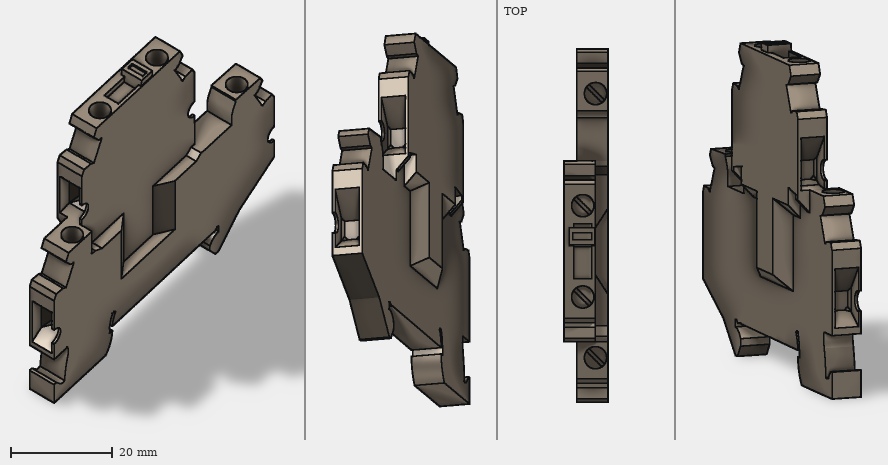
import cadquery as cq


TOTAL_WIDTH = 8.72
SLAB_WIDTH = 6.2
OFFSET = TOTAL_WIDTH - SLAB_WIDTH

LENGTH = 69.9
LOWER_TOP = 40.0
UPPER_TOP = 64.45
UPPER_FRONT = 12.0
UPPER_BACK = 47.75
UPPER_MIDDLE = (UPPER_FRONT + UPPER_BACK) / 2
SLIDER_TOP = 65.95
BACK_LEDGE_Z = 33.3
END_FACE_BOTTOM = 12.75
LIP_INSET = 4.65
UPPER_ROOT_Z = 31.0

VALLEY_FLOOR_Z = 32.3
VALLEY_RIM = 1.1
VALLEY_RIM_RISE = 0.1
VALLEY_FRONT_SLOPE = 2.1
VALLEY_BACK_SLOPE = 1.6

TAPER_DROP = 2.7
CORNER_WIDTH = 1.15
CORNER_Z = 38.1
NOTCH_OUTER_Z = 39.05
NOTCH_INNER_Z = 39.75
NOTCH_END = 5.2
SHELF_Z = 36.2
TONGUE_TIP_WIDTH = 8.6
TONGUE_ROOT_WIDTH = 17.65
TONGUE_TIP_Z = 20.85
TONGUE_ROOT_Z = TONGUE_TIP_Z - TAPER_DROP
TONGUE_OVERLAP = 1.0
TONGUE_TOP_Z = SHELF_Z + TONGUE_OVERLAP

SOCKET_INNER_WIDTH = 9.3
SOCKET_MOUTH_WIDTH = 17.0

SCREW_DIAMETER = 4.4
SCREW_DEPTH = 6.0
SCREW_SLOT_WIDTH = 0.75
SCREW_SLOT_ANGLE = -45
SCREW_SLOT_DEPTH = 0.5
SCREW_X = 3.72
SCREW_INSET = 8.85

ENTRY_LEFT = 0.65
ENTRY_RIGHT = 5.62
ENTRY_THROAT_LEFT = 1.95
ENTRY_THROAT_RIGHT = 5.12
ENTRY_DEPTH = 4.55
ENTRY_FLARE_DEPTH = 2.95
ENTRY_RIGHT_FLARE_DEPTH = 4.05
ENTRY_TOP = 13.9
ENTRY_THROAT_TOP = 19.3
ENTRY_THROAT_BOTTOM = 23.15
ENTRY_BOTTOM = 25.8
THROAT_CHAMFER = 0.7
SIDE_CUT_RADIUS = 2.07
SIDE_CUT_DROP = 20.7

CHANNEL_X = (1.9, 5.45)
CHANNEL_Y = (24.5, 35.3)
CHANNEL_DEPTH = 1.4
SLIDER_X = (1.05, 6.05)
SLIDER_Y = (30.95, 34.5)
SLIDER_TOP_FRONT = 31.15
SLIDER_SLOT_X = (1.75, 5.45)
SLIDER_SLOT_Y = (32.2, 33.55)
SLIDER_SLOT_DEPTH = 0.5


def box(x_range, y_range, z_range):
    """Axis-aligned box between the given limits."""
    size = [high - low for low, high in (x_range, y_range, z_range)]
    return cq.Workplane("XY").box(*size, centered=False).translate((x_range[0], y_range[0], z_range[0]))


def shoulder(y_end, z_top, inward):
    """Stepped tower end from the end face up to the overhanging lip; inward is +1 or -1 along Y."""
    steps = [
        (0, -10.1),
        (0.7, -8.68),
        (2.9, -8.88),
        (3.8, -9.45),
        (6.3, -4.25),
        (5.3, -3.97),
        (3.75, -2.05),
    ]
    return [(y_end + inward * y, z_top + z) for y, z in steps]


def lower_slab():
    """Lower slab with its two towers and the mounting-rail foot."""
    valley_front = UPPER_FRONT + VALLEY_RIM
    rim_z = BACK_LEDGE_Z + VALLEY_RIM_RISE
    valley_back = UPPER_BACK - VALLEY_RIM
    outline = cq.Workplane("YZ", origin=(OFFSET, 0, 0)).moveTo(0, END_FACE_BOTTOM)
    for point in shoulder(0, LOWER_TOP, 1):
        outline = outline.lineTo(*point)
    outline = (
        outline.lineTo(LIP_INSET, LOWER_TOP)
        .lineTo(UPPER_FRONT, LOWER_TOP)
        .lineTo(UPPER_FRONT, rim_z + VALLEY_RIM_RISE)
        .lineTo(valley_front, rim_z)
        .lineTo(valley_front + VALLEY_FRONT_SLOPE, VALLEY_FLOOR_Z)
        .lineTo(valley_back - VALLEY_BACK_SLOPE, VALLEY_FLOOR_Z)
        .lineTo(valley_back, rim_z)
        .lineTo(UPPER_BACK, BACK_LEDGE_Z)
        .lineTo(56.3, BACK_LEDGE_Z)
        .lineTo(56.3, 35.2)
        .threePointArc((56.53, 36.65), (57.05, 37.9))
        .lineTo(57.65, 39.1)
        .lineTo(57.65, 39.55)
        .lineTo(65.45, 39.3)
    )
    for point in reversed(shoulder(LENGTH, LOWER_TOP, -1)):
        outline = outline.lineTo(*point)
    outline = (
        outline.lineTo(LENGTH, 12.55)
        .lineTo(58.8, 6.4)
        .lineTo(52.25, 0)
        .lineTo(51.15, 0)
        .lineTo(49.45, 2.35)
        .lineTo(49.45, 3.85)
        .threePointArc((50.5, 5.1), (52.25, 5.75))
        .lineTo(52.25, 7.25)
        .lineTo(51.8, 7.25)
        .lineTo(50.85, 6.7)
        .lineTo(50.2, 6.9)
        .lineTo(18.5, 6.7)
    )
    outline = (
        outline.threePointArc((18.8, 8.5), (19.5, 10.15))
        .lineTo(19.1, 10.5)
        .lineTo(18.55, 10.4)
        .threePointArc((17.9, 8.8), (17.65, 7.1))
        .lineTo(17.65, 5.4)
        .lineTo(18.55, 5.4)
        .threePointArc((17.95, 2.5), (16.45, 0))
        .lineTo(0, 0)
        .lineTo(0, 5.4)
        .lineTo(0.75, 5.4)
        .lineTo(2.1, 3.9)
        .threePointArc((2.7, 3.68), (3.35, 3.78))
        .threePointArc((3.65, 6.8), (4.2, 9.5))
        .threePointArc((4.5, 11.1), (4.3, END_FACE_BOTTOM))
        .close()
    )
    return outline.extrude(SLAB_WIDTH)


def upper_outline(x, bottom_points):
    """Sketch of the upper slab at x, closed along the given bottom points (front to back)."""
    front = shoulder(UPPER_FRONT, UPPER_TOP, 1) + [(UPPER_FRONT + LIP_INSET, UPPER_TOP)]
    back = [(2 * UPPER_MIDDLE - y, z) for y, z in reversed(front)]
    points = front + back + list(reversed(bottom_points))
    return cq.Workplane("YZ", origin=(x, 0, 0)).polyline(points).close()


def taper(y_range, z):
    """Wedge below height z that is thin at the -X face and full at the lower slab."""
    profile = [(0, z), (OFFSET, z), (OFFSET, z - TAPER_DROP)]
    wedge = cq.Workplane("XZ").polyline(profile).close().extrude(-(y_range[1] - y_range[0]))
    return wedge.translate((0, y_range[0], 0))


def frustum(x_range, widths, bottoms, top):
    """Tapered block along X, centred on the upper slab, with a level top."""
    sketch = cq.Workplane("YZ", origin=(x_range[0], 0, 0))
    sketch = sketch.center(UPPER_MIDDLE, (bottoms[0] + top) / 2).rect(widths[0], top - bottoms[0])
    sketch = sketch.workplane(offset=x_range[1] - x_range[0])
    sketch = sketch.center(0, (bottoms[1] - bottoms[0]) / 2).rect(widths[1], top - bottoms[1])
    return sketch.loft(ruled=True)


def upper_slab():
    """Upper slab: a core rooted in the lower slab and a projecting layer with notches and tongue."""
    core = upper_outline(OFFSET, [(UPPER_FRONT, UPPER_ROOT_Z), (UPPER_BACK, UPPER_ROOT_Z)])
    core = core.extrude(SLAB_WIDTH - OFFSET)

    front_notch = [
        (UPPER_FRONT, CORNER_Z),
        (UPPER_FRONT + CORNER_WIDTH, CORNER_Z),
        (UPPER_FRONT + CORNER_WIDTH, NOTCH_OUTER_Z),
        (UPPER_FRONT + NOTCH_END, NOTCH_INNER_Z),
        (UPPER_FRONT + NOTCH_END, SHELF_Z),
    ]
    back_notch = [(2 * UPPER_MIDDLE - y, z) for y, z in reversed(front_notch)]
    layer = upper_outline(0, front_notch + back_notch).extrude(OFFSET)

    slab = core.union(layer)
    slab = slab.union(taper((UPPER_FRONT, UPPER_FRONT + CORNER_WIDTH), CORNER_Z))
    slab = slab.union(taper((UPPER_BACK - CORNER_WIDTH, UPPER_BACK), CORNER_Z))
    slab = slab.union(taper((UPPER_FRONT + NOTCH_END, UPPER_BACK - NOTCH_END), SHELF_Z))
    tongue = frustum(
        (0, OFFSET), (TONGUE_TIP_WIDTH, TONGUE_ROOT_WIDTH), (TONGUE_TIP_Z, TONGUE_ROOT_Z), TONGUE_TOP_Z
    )
    return slab.union(tongue)


def tongue_socket():
    """Flared pocket in the lower slab's +X face, open to the valley above it."""
    return frustum(
        (SLAB_WIDTH, TOTAL_WIDTH),
        (SOCKET_INNER_WIDTH, SOCKET_MOUTH_WIDTH),
        (TONGUE_ROOT_Z, TONGUE_ROOT_Z),
        BACK_LEDGE_Z,
    )


def screw_hole(x, y, z_top):
    """Blind hole down to a screw head with a diagonal driver slot."""
    floor = z_top - SCREW_DEPTH
    radius = SCREW_DIAMETER / 2
    hole = cq.Workplane("XY", origin=(0, 0, floor)).circle(radius).extrude(SCREW_DEPTH)
    head = cq.Workplane("XY", origin=(0, 0, floor)).circle(radius).extrude(-SCREW_SLOT_DEPTH)
    bar = cq.Workplane("XY", origin=(0, 0, floor)).rect(SCREW_DIAMETER, SCREW_SLOT_WIDTH)
    bar = bar.extrude(-SCREW_SLOT_DEPTH).rotate((0, 0, 0), (0, 0, 1), SCREW_SLOT_ANGLE)
    return hole.union(bar.intersect(head)).translate((x, y, 0))


def tetrahedron(points):
    """Solid with the four given corners."""
    corners = [cq.Vector(*point) for point in points]
    faces = []
    for skipped in range(len(corners)):
        triangle = corners[:skipped] + corners[skipped + 1:]
        faces.append(cq.Face.makeFromWires(cq.Wire.makePolygon(triangle, close=True)))
    return cq.Workplane(obj=cq.Solid.makeSolid(cq.Shell.makeShell(faces)))


def entry_floor(y):
    """Height of the sloping wire-entry floor at depth y, measured from the slab top."""
    return -ENTRY_BOTTOM + (ENTRY_BOTTOM - ENTRY_THROAT_BOTTOM) * y / ENTRY_DEPTH


def throat_corner(side_x, throat_x, start_y):
    """Piece that bevels a lower corner of the wire throat, growing from nothing at the flare's start."""
    inward = 1 if throat_x > side_x else -1
    return tetrahedron([
        (side_x, start_y, entry_floor(start_y)),
        (throat_x, ENTRY_DEPTH, -ENTRY_THROAT_BOTTOM),
        (throat_x, ENTRY_DEPTH, -ENTRY_THROAT_BOTTOM + THROAT_CHAMFER),
        (throat_x + inward * THROAT_CHAMFER, ENTRY_DEPTH, -ENTRY_THROAT_BOTTOM),
    ])


def wire_entry(on_tower):
    """Wire funnel at a front end face at Y = 0 with the slab top at Z = 0.

    With on_tower the outer part of the floor flattens out to meet the tower top in front of it.
    """
    side = [
        (0, -ENTRY_TOP),
        (ENTRY_DEPTH, -ENTRY_THROAT_TOP),
        (ENTRY_DEPTH, -ENTRY_THROAT_BOTTOM),
    ]
    if on_tower:
        side += [(ENTRY_FLARE_DEPTH, entry_floor(ENTRY_FLARE_DEPTH)), (0, LOWER_TOP - UPPER_TOP)]
    else:
        side += [(0, entry_floor(0))]
    plan = [
        (ENTRY_LEFT, 0),
        (ENTRY_LEFT, ENTRY_FLARE_DEPTH),
        (ENTRY_THROAT_LEFT, ENTRY_DEPTH),
        (ENTRY_THROAT_RIGHT, ENTRY_DEPTH),
        (ENTRY_RIGHT, ENTRY_RIGHT_FLARE_DEPTH),
        (ENTRY_RIGHT, 0),
    ]
    funnel = cq.Workplane("YZ").polyline(side).close().extrude(SLAB_WIDTH)
    funnel = funnel.intersect(cq.Workplane("XY").polyline(plan).close().extrude(-ENTRY_BOTTOM))
    funnel = funnel.cut(throat_corner(ENTRY_LEFT, ENTRY_THROAT_LEFT, ENTRY_FLARE_DEPTH))
    funnel = funnel.cut(throat_corner(ENTRY_RIGHT, ENTRY_THROAT_RIGHT, ENTRY_RIGHT_FLARE_DEPTH))

    wall = SLAB_WIDTH - ENTRY_RIGHT
    side_cut = cq.Workplane("YZ", origin=(ENTRY_RIGHT, 0, 0)).center(0, -SIDE_CUT_DROP)
    return funnel.union(side_cut.circle(SIDE_CUT_RADIUS).extrude(wall))


def cut_terminals(body, x_face, y_front, y_back, z_top, on_tower):
    """Cut the screw hole and wire entry at both ends of one slab."""
    entry = wire_entry(on_tower)
    back_entry = wire_entry(False).mirror("XZ")
    body = body.cut(entry.translate((x_face, y_front, z_top)))
    body = body.cut(back_entry.translate((x_face, y_back, z_top)))
    for y in (y_front + SCREW_INSET, y_back - SCREW_INSET):
        body = body.cut(screw_hole(x_face + SCREW_X, y, z_top))
    return body


def slider():
    """Slider standing in the channel, with a slot in its top."""
    channel_floor = UPPER_TOP - CHANNEL_DEPTH
    lean = (SLIDER_TOP_FRONT - SLIDER_Y[0]) / (SLIDER_TOP - UPPER_TOP)
    profile = [
        (SLIDER_Y[0] - lean * CHANNEL_DEPTH, channel_floor),
        (SLIDER_Y[1], channel_floor),
        (SLIDER_Y[1], SLIDER_TOP),
        (SLIDER_TOP_FRONT, SLIDER_TOP),
    ]
    side = cq.Workplane("YZ").polyline(profile).close().extrude(SLAB_WIDTH)
    neck = side.intersect(box(CHANNEL_X, CHANNEL_Y, (channel_floor, UPPER_TOP)))
    cap = side.intersect(box(SLIDER_X, CHANNEL_Y, (UPPER_TOP, SLIDER_TOP)))
    slot = box(SLIDER_SLOT_X, SLIDER_SLOT_Y, (SLIDER_TOP - SLIDER_SLOT_DEPTH, SLIDER_TOP))
    return cap.union(neck).cut(slot)


body = lower_slab().cut(tongue_socket()).union(upper_slab())
body = cut_terminals(body, OFFSET, 0, LENGTH, LOWER_TOP, False)
body = cut_terminals(body, 0, UPPER_FRONT, UPPER_BACK, UPPER_TOP, True)
channel = box(CHANNEL_X, CHANNEL_Y, (UPPER_TOP - CHANNEL_DEPTH, UPPER_TOP))
result = body.cut(channel).union(slider())